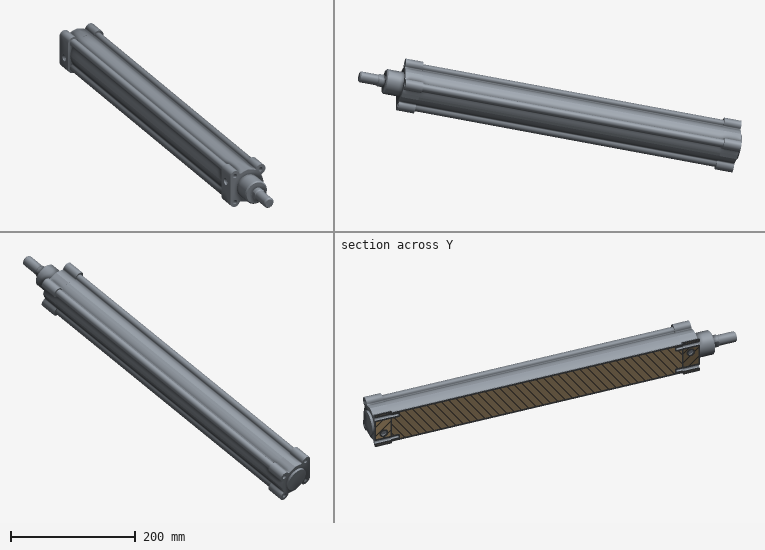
import cadquery as cq
import math

TOTAL_LENGTH = 629.0
SIDE = 65.0

REAR_BOSS_LENGTH = 4.0
COVER_LENGTH = 28.0
BARREL_LENGTH = 499.0
FRONT_BOSS_LENGTH = 28.0

REAR_COVER_START = -TOTAL_LENGTH / 2 + REAR_BOSS_LENGTH
BARREL_START = REAR_COVER_START + COVER_LENGTH
FRONT_COVER_START = BARREL_START + BARREL_LENGTH
FRONT_BOSS_START = FRONT_COVER_START + COVER_LENGTH
FRONT_BOSS_END = FRONT_BOSS_START + FRONT_BOSS_LENGTH
ROD_TIP = TOTAL_LENGTH / 2

COVER_LOBE_RADIUS = 9.0
COVER_LOBE_OFFSET = SIDE / 2 - COVER_LOBE_RADIUS
COVER_CORE_RADIUS = 28.0
COVER_RIDGE_ANGLE = 14.0
COVER_NECK_FILLET = 2.0

BARREL_LOBE_RADIUS = 6.0
BARREL_LOBE_OFFSET = 22.5
BARREL_NECK_FILLET = 2.0
BARREL_CORE_RADIUS = 28.0
BARREL_RIDGE_ANGLE = 10.0

TAPPED_HOLE_RADIUS = 3.0
TAPPED_HOLE_DEPTH = 12.5

BOSS_RADIUS = 20.0
BOSS_CHAMFER = 2.0
SCREW_HOLE_RADIUS = 4.0
PORT_RADIUS = 5.5
PORT_DEPTH = 12.5
PORT_HEIGHT = 9.0
PORT_INSET = 15.0

ROD_RADIUS = 9.0
ROD_TIP_CHAMFER = 2.0
HEAD_RADIUS = 10.0
HEAD_LENGTH = 11.5
HEAD_CHAMFER_LENGTH = 2.0
FLAT_OFFSET = 8.5
FLAT_START = 1.0
FLAT_END = 11.0


def yz_plane(x):
    """Plane across the cylinder axis at x, with local axes Y and Z, facing +X."""
    return cq.Workplane("YZ", origin=(x, 0, 0))


def corner_points(offset):
    return [(y * offset, z * offset) for y in (-1, 1) for z in (-1, 1)]


def ridge(x, length, radius, angle, turn):
    """Low ridge of two flats that are tangent to the round core and meet above it."""
    half_width = radius * math.sin(math.radians(angle))
    foot = radius * math.cos(math.radians(angle))
    peak = radius / math.cos(math.radians(angle))
    outline = [(0, 0), (half_width, foot), (0, peak), (-half_width, foot)]
    prism = yz_plane(x).polyline(outline).close().extrude(length)
    return prism.rotate((0, 0, 0), (1, 0, 0), turn)


def lobed_bar(x, length, core_radius, lobe_radius, lobe_offset, neck_fillet):
    """Round core with a round lobe at each of the four corners and filleted necks between them."""
    core = yz_plane(x).circle(core_radius).extrude(length)
    lobes = yz_plane(x).pushPoints(corner_points(lobe_offset)).circle(lobe_radius).extrude(length)
    necks = cq.selectors.BoxSelector(
        (x, -core_radius, -core_radius), (x + length, core_radius, core_radius)
    )
    return core.union(lobes).edges("|X").edges(necks).fillet(neck_fillet)


def add_ridges(bar, x, length, core_radius, angle):
    for turn in (0, 90, 180, 270):
        bar = bar.union(ridge(x, length, core_radius, angle, turn))
    return bar


def cover_block(x):
    """End cover without its boss and holes: ridged and lobed, with a flat port side at -Y."""
    block = lobed_bar(
        x, COVER_LENGTH, COVER_CORE_RADIUS, COVER_LOBE_RADIUS, COVER_LOBE_OFFSET, COVER_NECK_FILLET
    )
    block = add_ridges(block, x, COVER_LENGTH, COVER_CORE_RADIUS, COVER_RIDGE_ANGLE)
    port_side = cq.Workplane("XY").box(
        COVER_LENGTH, COVER_LOBE_RADIUS, 2 * COVER_LOBE_OFFSET, centered=(False, False, True)
    )
    return block.union(port_side.translate((x, -SIDE / 2, 0)))


def cut_port(cover, x, z):
    """Blind air port, drilled from the flat -Y side."""
    port = cq.Workplane("XZ", origin=(x, -SIDE / 2, z)).circle(PORT_RADIUS).extrude(-PORT_DEPTH)
    return cover.cut(port)


def cut_screw_holes(cover, x):
    """Screw holes through the four lobes of a cover that starts at x."""
    points = corner_points(COVER_LOBE_OFFSET)
    holes = yz_plane(x).pushPoints(points).circle(SCREW_HOLE_RADIUS).extrude(COVER_LENGTH)
    return cover.cut(holes)


def make_rear_cover():
    boss = yz_plane(REAR_COVER_START).circle(BOSS_RADIUS).extrude(-REAR_BOSS_LENGTH)
    cover = cover_block(REAR_COVER_START).union(boss)
    cover = cut_port(cover, REAR_COVER_START + PORT_INSET, -PORT_HEIGHT)
    return cut_screw_holes(cover, REAR_COVER_START)


def make_barrel():
    """Solid barrel with a blind tapped hole in each end of each lobe."""
    barrel = lobed_bar(
        BARREL_START,
        BARREL_LENGTH,
        BARREL_CORE_RADIUS,
        BARREL_LOBE_RADIUS,
        BARREL_LOBE_OFFSET,
        BARREL_NECK_FILLET,
    )
    barrel = add_ridges(barrel, BARREL_START, BARREL_LENGTH, BARREL_CORE_RADIUS, BARREL_RIDGE_ANGLE)
    points = corner_points(BARREL_LOBE_OFFSET)
    for end, depth in ((BARREL_START, TAPPED_HOLE_DEPTH), (FRONT_COVER_START, -TAPPED_HOLE_DEPTH)):
        barrel = barrel.cut(yz_plane(end).pushPoints(points).circle(TAPPED_HOLE_RADIUS).extrude(depth))
    return barrel


def make_rod():
    """Rod from the barrel face to its tip, with a flatted head just outside the boss."""
    rod = yz_plane(FRONT_COVER_START).circle(ROD_RADIUS).extrude(ROD_TIP - FRONT_COVER_START)
    rod = rod.faces(">X").chamfer(ROD_TIP_CHAMFER)
    head = yz_plane(FRONT_BOSS_END).circle(HEAD_RADIUS).extrude(HEAD_LENGTH)
    head = head.faces("<X or >X").edges().chamfer(HEAD_CHAMFER_LENGTH, HEAD_RADIUS - ROD_RADIUS)
    rod = rod.union(head)
    flat_cut = cq.Workplane("XY").box(
        FLAT_END - FLAT_START, HEAD_RADIUS, 2 * HEAD_RADIUS, centered=(False, True, True)
    )
    for side in (-1, 1):
        cut_middle = side * (FLAT_OFFSET + HEAD_RADIUS / 2)
        rod = rod.cut(flat_cut.translate((FRONT_BOSS_END + FLAT_START, cut_middle, 0)))
    return rod


def make_front_cover():
    boss = yz_plane(FRONT_BOSS_START).circle(BOSS_RADIUS).extrude(FRONT_BOSS_LENGTH)
    boss = boss.faces(">X").chamfer(BOSS_CHAMFER)
    cover = cover_block(FRONT_COVER_START).union(boss)
    cover = cut_port(cover, FRONT_BOSS_START - PORT_INSET, PORT_HEIGHT)
    cover = cut_screw_holes(cover, FRONT_COVER_START)
    rod_bore = yz_plane(FRONT_COVER_START).circle(ROD_RADIUS).extrude(FRONT_BOSS_END - FRONT_COVER_START)
    return cover.cut(rod_bore)


rear_cover = make_rear_cover()
barrel = make_barrel()
front_cover = make_front_cover()
rod = make_rod()

result = cq.Compound.makeCompound([rear_cover.val(), barrel.val(), front_cover.val(), rod.val()])